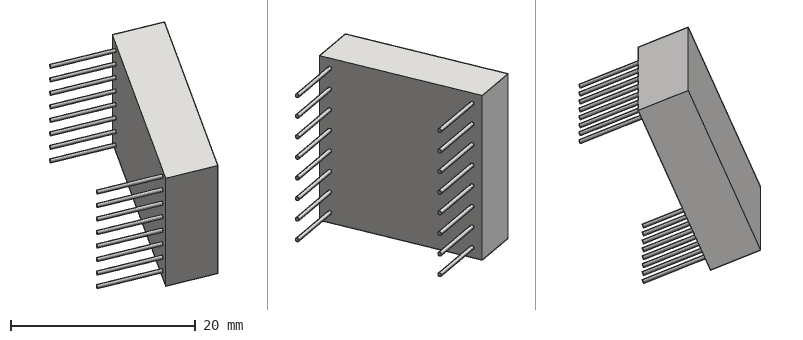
import cadquery as cq

body_side = 20.0
body_depth = 5.9

overall_depth = 13.3
pin_length = overall_depth - body_depth
pin_diameter = 0.45
pins_per_column = 8
pin_pitch = 2.5
column_spacing = 17.5


def make_body():
    """Plain block with its pin face on the plane Y = 0."""
    return cq.Workplane("XY").box(body_side, body_depth, body_side, centered=(True, False, True))


def make_pins():
    """Straight pins running from the pin face toward -Y."""
    return (
        cq.Workplane("XZ")
        .rarray(column_spacing, pin_pitch, 2, pins_per_column)
        .circle(pin_diameter / 2)
        .extrude(pin_length)
    )


result = make_body().union(make_pins())